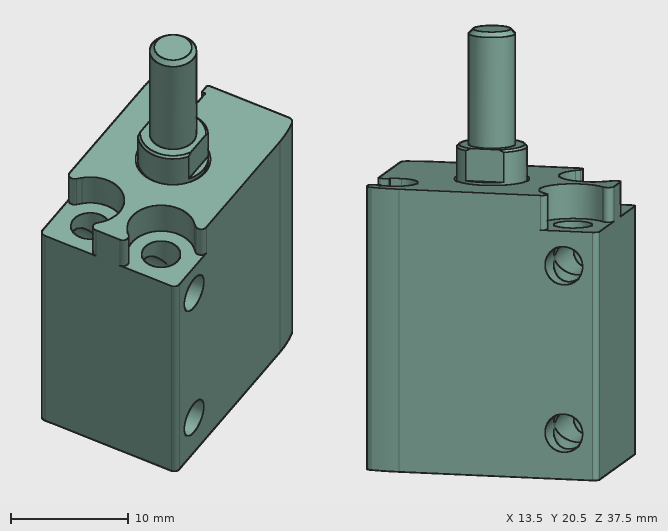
import cadquery as cq
import math

width = 13.5
depth = 20.5
housing_height = 24.5
half_width = width / 2
front_y = -11.0
back_y = front_y + depth

front_corner_radius = 0.5
back_curve_length = 3.0
back_curve_radius = 11.0
back_corner_radius = 0.6

slot_x = -3.65
slot_radius = 1.85
slot_center_y = back_y - 2.0
lip_opening = 3.0
lip_depth = 1.0
lip_corner_radius = 0.2

screw_diameter = 3.3
screw_x = 3.5
screw_y = front_y + 3.0
pocket_depth = 3.0
pocket_radius = 2.9
pocket_floor = housing_height - pocket_depth
pocket_tip_radius = 0.5
pocket_margin = 1.0
cross_hole_heights = (4.0, 18.5)

collar_diameter = 6.0
collar_height = 3.0
collar_chamfer = 0.2
flats_width = 5.0
flats_start = 0.2
rod_diameter = 4.0
rod_length = 10.0
rod_chamfer = 0.4
bore_depth = 10.0
bore_countersink = 0.2
bore_countersink_angle = 90.0


def make_blank():
    """Housing block whose side walls curve inward towards the back face."""
    curve_start_y = back_y - back_curve_length
    curve_angle = math.asin(back_curve_length / back_curve_radius)

    def curve_inset(angle):
        return back_curve_radius * (1 - math.cos(angle))

    end_x = half_width - curve_inset(curve_angle)
    middle_x = half_width - curve_inset(curve_angle / 2)
    middle_y = curve_start_y + back_curve_radius * math.sin(curve_angle / 2)
    blank = (
        cq.Workplane("XY")
        .moveTo(-half_width, front_y)
        .lineTo(half_width, front_y)
        .lineTo(half_width, curve_start_y)
        .threePointArc((middle_x, middle_y), (end_x, back_y))
        .lineTo(-end_x, back_y)
        .threePointArc((-middle_x, middle_y), (-half_width, curve_start_y))
        .close()
        .extrude(housing_height)
    )
    blank = blank.edges("|Z and <Y").fillet(front_corner_radius)
    return blank.edges("|Z and >Y").fillet(back_corner_radius)


def make_slot():
    """Round-bottomed slot that narrows to a lipped opening at the back face."""
    channel_length = back_y - lip_depth - slot_center_y
    channel = (
        cq.Workplane("XY")
        .moveTo(slot_x - slot_radius, slot_center_y)
        .threePointArc((slot_x, slot_center_y - slot_radius), (slot_x + slot_radius, slot_center_y))
        .line(0, channel_length)
        .line(-2 * slot_radius, 0)
        .close()
        .extrude(housing_height)
    )
    opening = (
        cq.Workplane("XY")
        .center(slot_x, (slot_center_y + back_y) / 2)
        .rect(lip_opening, back_y - slot_center_y)
        .extrude(housing_height)
    )
    return channel.union(opening)


def make_left_pocket():
    """Screw head pocket in the front left corner.

    A circle around the screw runs out along two 45 degree tangents. Each tangent
    ends in a rounded tip of the land, and that rounding meets the outer wall smoothly.
    """
    diagonal = math.sqrt(0.5)
    center_x = -screw_x
    reach = pocket_radius * diagonal
    tip = pocket_tip_radius
    tip_offset = tip * diagonal

    wall_tangent = (center_x - reach, screw_y + reach)
    wall_tip_x = -half_width + tip
    wall_tip_y = wall_tangent[1] + tip_offset + (wall_tip_x - wall_tangent[0] + tip_offset)

    web_tangent = (center_x + reach, screw_y - reach)
    web_tip_y = front_y + tip
    web_tip_x = web_tangent[0] + tip_offset + (web_tip_y - web_tangent[1] + tip_offset)

    outer_x = -half_width - pocket_margin
    outer_y = front_y - pocket_margin
    return (
        cq.Workplane("XY", origin=(0, 0, pocket_floor))
        .moveTo(outer_x, wall_tip_y)
        .lineTo(-half_width, wall_tip_y)
        .threePointArc((wall_tip_x, wall_tip_y - tip), (wall_tip_x + tip_offset, wall_tip_y - tip_offset))
        .lineTo(*wall_tangent)
        .threePointArc((center_x + reach, screw_y + reach), web_tangent)
        .lineTo(web_tip_x - tip_offset, web_tip_y + tip_offset)
        .threePointArc((web_tip_x - tip, web_tip_y), (web_tip_x, front_y))
        .lineTo(web_tip_x, outer_y)
        .lineTo(outer_x, outer_y)
        .close()
        .extrude(pocket_depth)
    )


def make_housing():
    body = make_blank().cut(make_slot())

    for side in (-1, 1):
        corner = (slot_x + side * lip_opening / 2, back_y, housing_height / 2)
        body = body.edges(cq.NearestToPointSelector(corner)).fillet(lip_corner_radius)

    left_pocket = make_left_pocket()
    body = body.cut(left_pocket).cut(left_pocket.mirror("YZ"))

    screw_holes = (
        cq.Workplane("XY")
        .pushPoints([(-screw_x, screw_y), (screw_x, screw_y)])
        .circle(screw_diameter / 2)
        .extrude(housing_height)
    )
    cross_holes = (
        cq.Workplane("YZ", origin=(-half_width, 0, 0))
        .pushPoints([(screw_y, height) for height in cross_hole_heights])
        .circle(screw_diameter / 2)
        .extrude(width)
    )
    body = body.cut(screw_holes).cut(cross_holes)

    mouth_diameter = collar_diameter + 2 * bore_countersink
    return (
        body.faces(">Z")
        .workplane(origin=(0, 0, housing_height))
        .cskHole(collar_diameter, mouth_diameter, bore_countersink_angle, bore_depth)
    )


def make_piston_rod():
    collar = (
        cq.Workplane("XY", origin=(0, 0, housing_height - bore_depth))
        .circle(collar_diameter / 2)
        .extrude(bore_depth + collar_height)
        .faces(">Z")
        .chamfer(collar_chamfer)
    )

    flats_height = collar_height - flats_start
    flats_envelope = (
        cq.Workplane("XY", origin=(0, 0, housing_height + flats_start))
        .rect(flats_width, collar_diameter)
        .extrude(flats_height)
    )
    flats_cutter = (
        cq.Workplane("XY", origin=(0, 0, housing_height + flats_start))
        .rect(collar_diameter, collar_diameter)
        .extrude(flats_height)
        .cut(flats_envelope)
    )

    shank = (
        cq.Workplane("XY", origin=(0, 0, housing_height + collar_height))
        .circle(rod_diameter / 2)
        .extrude(rod_length)
        .faces(">Z")
        .chamfer(rod_chamfer)
    )
    return collar.cut(flats_cutter).union(shank)


housing = make_housing()
piston_rod = make_piston_rod()
result = cq.Compound.makeCompound([housing.solids().val(), piston_rod.solids().val()])